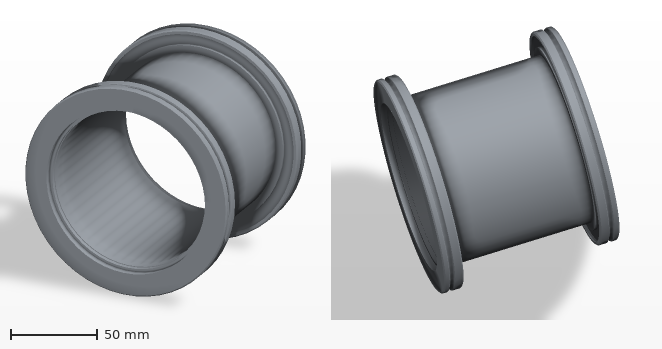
import cadquery as cq

length = 107.6
flange_diameter = 130.0
flange_thickness = 12.0
edge_chamfer = 0.8

tube_outer_diameter = 102.0
tube_inner_diameter = 97.4
socket_diameter = tube_outer_diameter
lip_diameter = 98.3
mouth_diameter = 102.0
mouth_depth = 3.9
lip_thickness = 2.6

groove_radius = 1.4
groove_edge_chamfer = 0.3
groove_offset = 5.0

recess_outer_diameter = 125.0
recess_inner_diameter = 111.4
recess_depth = 2.0

socket_start = mouth_depth + lip_thickness


def cylinder(diameter, start, depth):
    """Solid cylinder along +Y that begins at y = start."""
    return (
        cq.Workplane("XZ", origin=(0, start, 0))
        .circle(diameter / 2)
        .extrude(-depth)
    )


def ring(outer_diameter, inner_diameter, start, depth):
    """Hollow cylinder along +Y that begins at y = start."""
    return cylinder(outer_diameter, start, depth).cut(cylinder(inner_diameter, start, depth))


def rim_groove():
    """Ring that cuts the round-bottomed groove with bevelled edges around the rim."""
    rim_radius = flange_diameter / 2
    arc_radius = rim_radius - groove_edge_chamfer
    half_opening = groove_radius + groove_edge_chamfer
    return (
        cq.Workplane("XY")
        .moveTo(rim_radius, groove_offset - half_opening)
        .lineTo(arc_radius, groove_offset - groove_radius)
        .threePointArc(
            (arc_radius - groove_radius, groove_offset),
            (arc_radius, groove_offset + groove_radius),
        )
        .lineTo(rim_radius, groove_offset + half_opening)
        .close()
        .revolve(360, (0, 0), (0, 1))
    )


def make_flange():
    """Flange with its outer face at y = 0 and its tube socket toward +Y."""
    body = cylinder(flange_diameter, 0, flange_thickness).edges().chamfer(edge_chamfer)
    mouth = cylinder(mouth_diameter, 0, mouth_depth)
    lip_bore = cylinder(lip_diameter, mouth_depth, lip_thickness)
    socket = cylinder(socket_diameter, socket_start, flange_thickness - socket_start)
    recess = ring(
        recess_outer_diameter,
        recess_inner_diameter,
        flange_thickness - recess_depth,
        recess_depth,
    )
    return body.cut(mouth).cut(lip_bore).cut(socket).cut(recess).cut(rim_groove())


def make_tube():
    """Tube whose ends rest against the lips of the two flanges."""
    tube_length = length - 2 * socket_start
    return ring(tube_outer_diameter, tube_inner_diameter, -tube_length / 2, tube_length)


flanges = []
for turn in (0, 180):
    flange = make_flange().translate((0, -length / 2, 0))
    flanges.append(flange.rotate((0, 0, 0), (0, 0, 1), turn))

tube = make_tube()

result = cq.Compound.makeCompound([tube.val(), *[flange.val() for flange in flanges]])